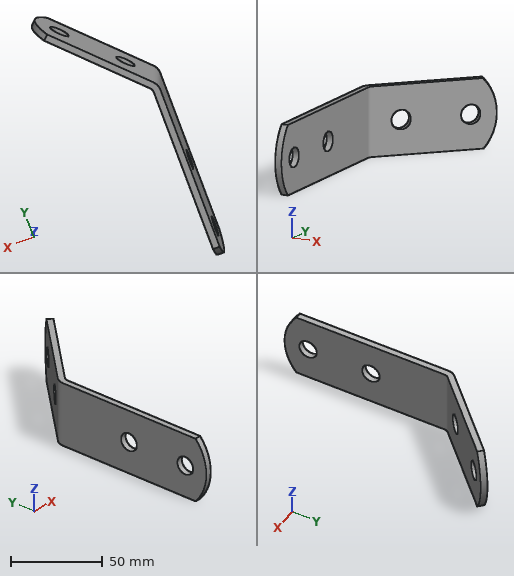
import cadquery as cq
import math

overall_x = 55.7
overall_y = 157.9
width = 40.0

thickness = 4.0
inner_bend_radius = thickness
outer_bend_radius = inner_bend_radius + thickness
bend_angle = 45.0
bend_cos = math.cos(math.radians(bend_angle))
bend_sin = math.sin(math.radians(bend_angle))

bent_leg = (overall_x - outer_bend_radius + inner_bend_radius * bend_cos) / bend_sin
straight_leg = overall_y - outer_bend_radius * bend_sin - bent_leg * bend_cos

end_radius = 30.0
hole_diameter = 11.0
end_to_hole = 15.0
hole_spacing = 40.0


def leg(length):
    """Flat leg along +Y from the origin, outer face on X = 0, rounded at its far end."""
    half_width = width / 2
    end_rise = end_radius - math.sqrt(end_radius**2 - half_width**2)
    hole_places = [
        (length - end_to_hole, 0),
        (length - end_to_hole - hole_spacing, 0),
    ]
    plate = (
        cq.Workplane("YZ")
        .moveTo(0, -half_width)
        .lineTo(length - end_rise, -half_width)
        .threePointArc((length, 0), (length - end_rise, half_width))
        .lineTo(0, half_width)
        .close()
        .extrude(thickness)
    )
    holes = (
        cq.Workplane("YZ")
        .pushPoints(hole_places)
        .circle(hole_diameter / 2)
        .extrude(thickness)
    )
    return plate.cut(holes)


def bend():
    """Curved piece from the origin towards +Y, turning towards +X."""
    half_cos = math.cos(math.radians(bend_angle / 2))
    half_sin = math.sin(math.radians(bend_angle / 2))

    def on_arc(radius, cosine, sine):
        return (outer_bend_radius - radius * cosine, radius * sine)

    return (
        cq.Workplane("XY")
        .moveTo(0, 0)
        .threePointArc(
            on_arc(outer_bend_radius, half_cos, half_sin),
            on_arc(outer_bend_radius, bend_cos, bend_sin),
        )
        .lineTo(*on_arc(inner_bend_radius, bend_cos, bend_sin))
        .threePointArc(
            on_arc(inner_bend_radius, half_cos, half_sin),
            (thickness, 0),
        )
        .close()
        .extrude(width / 2, both=True)
    )


straight_part = leg(straight_leg).mirror("XZ")
bend_axis_bottom = (outer_bend_radius, 0, 0)
bend_axis_top = (outer_bend_radius, 0, 1)
bent_part = leg(bent_leg).rotate(bend_axis_bottom, bend_axis_top, -bend_angle)

result = straight_part.union(bend()).union(bent_part)